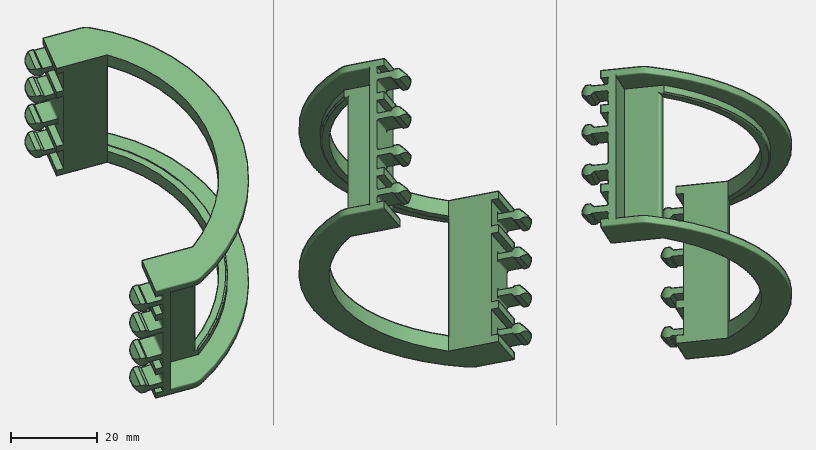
import cadquery as cq
import math

width = 79.6
height = 39.5
half_width = width / 2
half_height = height / 2

flange_thickness = 2.0
flange_inner_z = half_height - flange_thickness
arc_center_y = -11.55
flange_radius = 45.4
flange_corner_radius = 4.8
flange_edge_radius = 0.3

drum_inner_radius = 38.45
drum_wall = 2.1
drum_outer_radius = drum_inner_radius + drum_wall
opening_half_width = 30.1
drum_half_width = opening_half_width + drum_wall
window_half_height = 15.7
ring_edge_radius = 0.4
wall_edge_radius = 0.6

plate_front_y = 1.75
plate_back_y = 3.7
rib_thickness = 2.0
rib_z = 9.95

pin_width = 5.8
pin_thickness = 1.6
pin_outer_z = 15.2
pin_inner_z = 4.8
pin_base_radius = 0.5
pin_tip_y = -5.0
pin_tip_thickness = 0.3
pin_corner_radius = 2.3
head_start_y = -2.4
head_end_y = -3.7
large_barb = 0.8
small_barb = 0.3


def arc_y(radius, x):
    """Height y of an arc of the common centre at the place x."""
    return arc_center_y + math.sqrt(radius**2 - x**2)


def arch(half_span, radius, front_y, bottom_z, top_z):
    """Solid with straight sides from front_y and a round back."""
    side_y = arc_y(radius, half_span)
    return (
        cq.Workplane("XY", origin=(0, 0, bottom_z))
        .moveTo(-half_span, front_y)
        .lineTo(-half_span, side_y)
        .threePointArc((0, arc_center_y + radius), (half_span, side_y))
        .lineTo(half_span, front_y)
        .close()
        .extrude(top_z - bottom_z)
    )


def box(x_range, y_range, z_range):
    """Box between the given limits."""
    sizes = [high - low for low, high in (x_range, y_range, z_range)]
    corner = (x_range[0], y_range[0], z_range[0])
    return cq.Workplane("XY").box(*sizes, centered=False).translate(corner)


def make_flange():
    """Upper flange with rounded rear corners and rounded outer edges."""
    flange = arch(half_width, flange_radius, 0, flange_inner_z, half_height)
    flange = flange.edges("|Z").edges(">Y").fillet(flange_corner_radius)
    rim_edges = flange.faces("<Z or >Z").edges("not <Y")
    flange = rim_edges.fillet(flange_edge_radius)
    opening = arch(opening_half_width, drum_inner_radius, 0, flange_inner_z, half_height)
    return flange.cut(opening)


def make_ring():
    """Upper drum ring, rounded where its outer face meets the window."""
    ring = arch(
        drum_half_width, drum_outer_radius, plate_back_y, window_half_height, flange_inner_z
    )
    ring = ring.faces("<Z").edges("not <Y").fillet(ring_edge_radius)
    opening = arch(
        opening_half_width, drum_inner_radius, plate_back_y, window_half_height, flange_inner_z
    )
    return ring.cut(opening)


def make_wall():
    """Left side wall of the drum, rounded where its outer face meets the window."""
    wall = box(
        (-drum_half_width, -opening_half_width),
        (plate_back_y, arc_y(drum_inner_radius, opening_half_width)),
        (-flange_inner_z, flange_inner_z),
    )
    return wall.edges("|Z and >Y and <X").fillet(wall_edge_radius)


def make_plate():
    """Left front plate with its two ribs and the two lands at the flanges."""
    x_range = (-half_width, -opening_half_width)
    land_z = half_height - flange_edge_radius
    plate = box(x_range, (plate_front_y, plate_back_y), (-land_z, land_z))
    for center_z in (-rib_z, rib_z):
        rib_range = (center_z - rib_thickness / 2, center_z + rib_thickness / 2)
        plate = plate.union(box(x_range, (0, plate_front_y), rib_range))
    for land_range in ((-land_z, -flange_inner_z), (flange_inner_z, land_z)):
        plate = plate.union(box(x_range, (0, plate_front_y), land_range))
    return plate


def make_pin(center_z, barb_side):
    """Left pin with a pointed head; the large barb is on the barb_side (+1 up, -1 down)."""
    half = pin_thickness / 2
    large_side = half + large_barb
    small_side = -half - small_barb
    tip_z = (large_side + small_side) / 2
    half_tip = pin_tip_thickness / 2
    base_y = plate_front_y - pin_base_radius
    profile = (
        cq.Workplane("YZ")
        .moveTo(plate_back_y, half + pin_base_radius)
        .lineTo(plate_front_y, half + pin_base_radius)
        .radiusArc((base_y, half), pin_base_radius)
        .lineTo(head_start_y + large_barb, half)
        .lineTo(head_start_y, large_side)
        .lineTo(head_end_y, large_side)
        .lineTo(pin_tip_y, tip_z + half_tip)
        .lineTo(pin_tip_y, tip_z - half_tip)
        .lineTo(head_end_y, small_side)
        .lineTo(head_start_y, small_side)
        .lineTo(head_start_y + small_barb, -half)
        .lineTo(base_y, -half)
        .radiusArc((plate_front_y, -half - pin_base_radius), pin_base_radius)
        .lineTo(plate_back_y, -half - pin_base_radius)
        .close()
        .extrude(pin_width)
    )
    if barb_side < 0:
        profile = profile.mirror("XY")
    plan = box((0, pin_width), (pin_tip_y, plate_back_y), (-height, height))
    plan = plan.edges("|Z").edges("<Y").fillet(pin_corner_radius)
    return profile.intersect(plan).translate((-half_width, 0, center_z))


end_frame = make_flange().union(make_ring())
side = make_plate().union(make_wall())
for sign in (-1, 1):
    side = side.union(make_pin(sign * pin_outer_z, -sign))
    side = side.union(make_pin(sign * pin_inner_z, sign))

result = end_frame.union(end_frame.mirror("XY"))
result = result.union(side).union(side.mirror("YZ"))